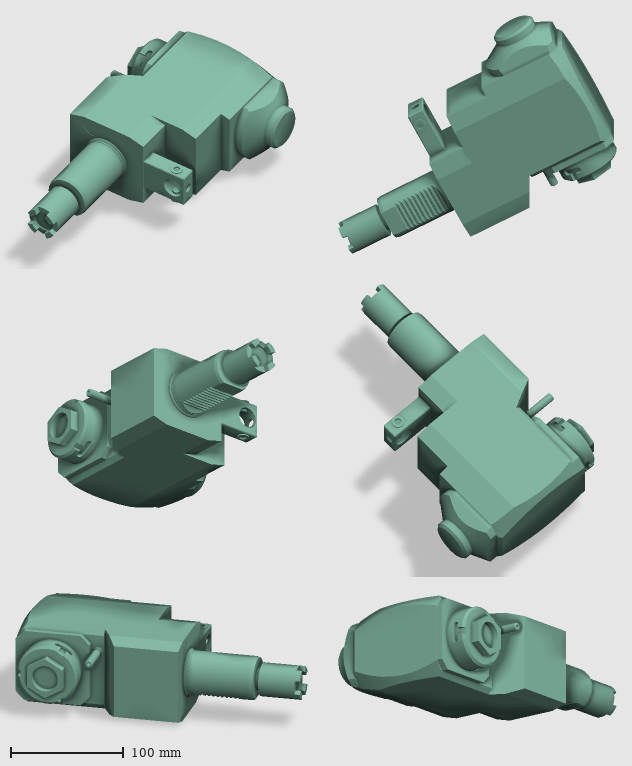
import cadquery as cq
import math


housing_height = 75.0
half_height = housing_height / 2
front_left_x = -38.8
front_right_x = 39.3
middle_right_x = 72.2
rear_left_x = -14.2
rear_right_x = 81.5
front_step_y = 34.7
rear_step_y = 74.5
rear_y = 154.0
bevel_slope = math.tan(math.radians(15))
front_bevel_run = 15.0
right_bevel_start_x = 57.2
rear_left_bevel_run = 4.0
rear_left_bevel_drop = 5.0
shoulder_outer_y = 59.0
shoulder_inner_x = -9.8
rear_corner_chamfer = 2.8

crown_axis_x = 23.5
crown_axis_y = 13.7
crown_radius = 136.0
crown_slope = 1.3

spindle_y = 120.0
plate_width_y = 67.5
plate_width_z = 65.7
plate_corner = 8.0
plate_outer_x = -20.2
nut_radius = 27.5
nut_outer_x = -39.3
nut_chamfer = 2.0
nut_slot_center_x = -29.5
nut_slot_width = 5.5
nut_slot_span = 40.0
nut_slot_depth = 3.0
nut_notch_width = 6.0
hex_flats = 32.0
hex_outer_x = -47.4
hex_bore_radius = 12.0
hex_bore_depth = 6.5

nozzle_y = 80.0
nozzle_z = 17.3
nozzle_radius = 3.5
nozzle_neck_radius = 1.8
nozzle_base_radius = 4.5
nozzle_bore_radius = 1.5
nozzle_bore_depth = 5.2
nozzle_inner_x = -19.7
nozzle_neck_x = -17.3
nozzle_chamfer = 0.8
side_plug_y = 80.8
side_plug_z = 10.4
side_plug_radius = 4.5
side_plug_hole_radius = 1.3
side_plug_hole_depth = 2.5
face_plug_x = -15.8
face_plug_z = 27.7
face_plug_radius = 7.5
plug_recess = 0.3

cap_radius = 37.5
cap_collar_x = 88.8
cap_cone_end_x = 101.2
cap_nose_radius = 19.5
cap_end_x = 109.8
cap_chamfer = 2.3
cap_half_width = 29.5
cap_taper_start_x = 84.6

flange_radius = 21.7
flange_length = 2.3
flange_chamfer_start = 1.0
collar_radius = 20.5
collar_end = 4.0
shank_radius = 40.0 / 2
shank_length = 63.2
shank_chamfer_length = 3.0
shank_chamfer_depth = 0.8
neck_radius = 10.0
neck_end = 67.0
coupling_radius = 30.3 / 2
coupling_end = 104.8
claw_height = 5.0
claw_slot_angle = 49.0
claw_bore_radius = 20.0 / 2
claw_bore_depth = 6.5
rack_z = -16.0
rack_runout_start = 4.1
rack_runout_slope = 0.75
rack_teeth_start = 11.5
rack_row_length = 36.2
rack_groove_count = 10
rack_pitch = rack_row_length / (rack_groove_count - 1)
rack_groove_depth = 1.5
rack_groove_floor = 1.3
rack_groove_mouth = 2.8

arm_end_x = 82.0
arm_front_y = 0.5
arm_rear_y = 15.8
arm_height = 31.3
arm_bore_x = 70.5
arm_bore_radius = 9.5
arm_outlet_radius = 4.1
arm_chamfer = 0.8
jet_y = 7.0
jet_inner_z = 7.2
jet_neck_radius = 3.5
jet_neck_height = 0.8
jet_rim_radius = 5.5
jet_rim_height = 1.0
jet_hole_radius = 3.0
jet_hole_depth = 4.0
jet_cone_depth = 1.8


def beveled_prism(start_y, end_y, left, right):
    """Housing stage; left and right are (side x, bevel start x, bevel drop)."""
    left_x, left_top_x, left_drop = left
    right_x, right_top_x, right_drop = right
    upper = [
        (left_x, half_height - left_drop),
        (left_top_x, half_height),
        (right_top_x, half_height),
        (right_x, half_height - right_drop),
    ]
    lower = [(x, -z) for x, z in reversed(upper)]
    return (
        cq.Workplane("XZ", origin=(0, start_y, 0))
        .polyline(upper + lower)
        .close()
        .extrude(start_y - end_y)
    )


def cylinder_x(start_x, end_x, radius, y, z):
    """Round bar parallel to X."""
    return cq.Workplane("YZ", origin=(start_x, y, z)).circle(radius).extrude(end_x - start_x)


def cylinder_y(start_y, end_y, radius, x, z):
    """Round bar parallel to Y."""
    return cq.Workplane("XZ", origin=(x, start_y, z)).circle(radius).extrude(start_y - end_y)


def revolve_about_x(outline, y, z):
    """Revolve (x, radius) points about a line parallel to X."""
    return (
        cq.Workplane("XY", origin=(0, y, z))
        .polyline(outline)
        .close()
        .revolve(360, (0, 0, 0), (1, 0, 0))
    )


def make_housing():
    front_bevel_drop = front_bevel_run * bevel_slope
    front_left = (front_left_x, front_left_x + front_bevel_run, front_bevel_drop)
    front_right = (front_right_x, front_right_x - front_bevel_run, front_bevel_drop)
    middle_drop = (middle_right_x - right_bevel_start_x) * bevel_slope
    middle_right = (middle_right_x, right_bevel_start_x, middle_drop)
    rear_left = (rear_left_x, rear_left_x + rear_left_bevel_run, rear_left_bevel_drop)
    rear_drop = (rear_right_x - right_bevel_start_x) * bevel_slope
    rear_right = (rear_right_x, right_bevel_start_x, rear_drop)

    rear_stage = beveled_prism(rear_step_y, rear_y, rear_left, rear_right)
    rear_stage = rear_stage.faces(">X").edges(">Y").chamfer(rear_corner_chamfer)
    rear_stage = rear_stage.intersect(make_crown())

    shoulder_cut = (
        cq.Workplane("XY")
        .polyline([
            (front_left_x, shoulder_outer_y),
            (shoulder_inner_x, rear_step_y),
            (front_left_x, rear_step_y),
        ])
        .close()
        .extrude(half_height, both=True)
    )
    return (
        beveled_prism(0, front_step_y, front_left, front_right)
        .union(beveled_prism(front_step_y, rear_step_y, front_left, middle_right))
        .cut(shoulder_cut)
        .union(rear_stage)
    )


def make_crown():
    """Double cone about a vertical axis, widest at mid height."""
    middle_radius = crown_radius + half_height / crown_slope
    return (
        cq.Workplane("XZ", origin=(crown_axis_x, crown_axis_y, 0))
        .polyline([
            (0, -half_height),
            (crown_radius, -half_height),
            (middle_radius, 0),
            (crown_radius, half_height),
            (0, half_height),
        ])
        .close()
        .revolve(360, (0, 0, 0), (0, 1, 0))
    )


def make_collet_side():
    plate = (
        cq.Workplane("YZ", origin=(plate_outer_x, spindle_y, 0))
        .rect(plate_width_y, plate_width_z)
        .extrude(rear_left_x - plate_outer_x)
        .edges("|X")
        .chamfer(plate_corner)
    )
    nut = cylinder_x(nut_outer_x, plate_outer_x, nut_radius, spindle_y, 0)
    nut = nut.faces("<X").chamfer(nut_chamfer)
    nut = nut.cut(make_nut_slots())
    hexagon = (
        cq.Workplane("YZ", origin=(hex_outer_x, spindle_y, 0))
        .polygon(6, hex_flats, circumscribed=True)
        .extrude(nut_outer_x - hex_outer_x)
    )
    bore = cylinder_x(hex_outer_x, hex_outer_x + hex_bore_depth, hex_bore_radius, spindle_y, 0)
    return plate.union(nut).union(hexagon).cut(bore)


def make_nut_slots():
    """Three T-shaped wrench slots, the first facing +Y."""
    floor_radius = nut_radius - nut_slot_depth
    cutter_radius = nut_radius + nut_slot_depth
    slot_start_x = nut_slot_center_x - nut_slot_width / 2
    slot_end_x = nut_slot_center_x + nut_slot_width / 2
    end_radius = nut_slot_width / 2
    arc_span = nut_slot_span - 2 * math.degrees(end_radius / nut_radius)
    slot = (
        cq.Workplane("XY")
        .polyline([
            (slot_start_x, floor_radius),
            (slot_end_x, floor_radius),
            (slot_end_x, cutter_radius),
            (slot_start_x, cutter_radius),
        ])
        .close()
        .revolve(arc_span, (0, 0, 0), (1, 0, 0))
        .rotate((0, 0, 0), (1, 0, 0), -arc_span / 2)
    )
    rounded_end = cylinder_y(floor_radius, cutter_radius, end_radius, nut_slot_center_x, 0)
    for angle in (-arc_span / 2, arc_span / 2):
        slot = slot.union(rounded_end.rotate((0, 0, 0), (1, 0, 0), angle))
    notch = cq.Workplane("XY").box(
        slot_end_x - nut_outer_x,
        cutter_radius - floor_radius,
        nut_notch_width,
        centered=(False, False, True),
    ).translate((nut_outer_x, floor_radius, 0))
    slot = slot.union(notch)
    slots = slot
    for angle in (120, 240):
        slots = slots.union(slot.rotate((0, 0, 0), (1, 0, 0), angle))
    return slots.translate((0, spindle_y, 0))


def make_nozzle():
    outline = [
        (hex_outer_x, 0),
        (hex_outer_x, nozzle_radius - nozzle_chamfer),
        (hex_outer_x + nozzle_chamfer, nozzle_radius),
        (nozzle_inner_x, nozzle_radius),
        (nozzle_inner_x, nozzle_neck_radius),
        (nozzle_neck_x, nozzle_neck_radius),
        (rear_left_x, nozzle_base_radius),
        (rear_left_x, 0),
    ]
    bore_end_x = hex_outer_x + nozzle_bore_depth
    bore = cylinder_x(hex_outer_x, bore_end_x, nozzle_bore_radius, nozzle_y, nozzle_z)
    return revolve_about_x(outline, nozzle_y, nozzle_z).cut(bore)


def make_plug_recesses():
    """Shallow round seats of the plugs in the mounting face and the collet side."""
    face_seat = cylinder_y(0, plug_recess, face_plug_radius, face_plug_x, face_plug_z)
    side_seat = cylinder_x(
        rear_left_x, rear_left_x + plug_recess, side_plug_radius, side_plug_y, side_plug_z
    )
    side_hole = cylinder_x(
        rear_left_x, rear_left_x + side_plug_hole_depth, side_plug_hole_radius, side_plug_y, side_plug_z
    )
    return face_seat.union(side_seat).union(side_hole)


def make_cap():
    outline = [
        (rear_right_x, 0),
        (rear_right_x, cap_radius),
        (cap_collar_x, cap_radius),
        (cap_cone_end_x, cap_nose_radius),
        (cap_end_x - cap_chamfer, cap_nose_radius),
        (cap_end_x, cap_nose_radius - cap_chamfer),
        (cap_end_x, 0),
    ]
    tapered_half_width = cap_half_width - (cap_end_x - cap_taper_start_x) * bevel_slope
    upper = [
        (rear_right_x, cap_half_width),
        (cap_taper_start_x, cap_half_width),
        (cap_end_x, tapered_half_width),
    ]
    lower = [(x, -z) for x, z in reversed(upper)]
    envelope = (
        cq.Workplane("XZ", origin=(0, spindle_y + cap_half_width, 0))
        .polyline(upper + lower)
        .close()
        .extrude(cap_half_width + cap_radius)
    )
    return revolve_about_x(outline, spindle_y, 0).intersect(envelope)


def make_shank():
    outline = [
        (0, 0),
        (flange_radius, 0),
        (flange_radius, -flange_chamfer_start),
        (collar_radius, -flange_length),
        (collar_radius, -collar_end),
        (shank_radius, -collar_end),
        (shank_radius, shank_chamfer_length - shank_length),
        (shank_radius - shank_chamfer_depth, -shank_length),
        (neck_radius, -shank_length),
        (neck_radius, -neck_end),
        (coupling_radius, -neck_end),
        (coupling_radius, -coupling_end),
        (0, -coupling_end),
    ]
    shank = cq.Workplane("XY").polyline(outline).close().revolve(360, (0, 0, 0), (0, 1, 0))
    return shank.cut(make_rack_cut()).cut(make_claw_cut())


def make_rack_cut():
    """Clamping flat with a sloped run-out and a row of tooth grooves."""
    runout_end = rack_runout_start + (flange_radius + rack_z) * rack_runout_slope
    flat = (
        cq.Workplane("YZ")
        .polyline([
            (-rack_runout_start, -flange_radius),
            (-runout_end, rack_z),
            (-shank_length, rack_z),
            (-shank_length, -flange_radius),
        ])
        .close()
        .extrude(flange_radius, both=True)
    )
    groove_top = rack_z + rack_groove_depth
    for index in range(rack_groove_count):
        center_y = -rack_teeth_start - index * rack_pitch
        groove = (
            cq.Workplane("YZ")
            .polyline([
                (center_y - rack_groove_mouth / 2, rack_z),
                (center_y + rack_groove_mouth / 2, rack_z),
                (center_y + rack_groove_floor / 2, groove_top),
                (center_y - rack_groove_floor / 2, groove_top),
            ])
            .close()
            .extrude(flange_radius, both=True)
        )
        flat = flat.union(groove)
    return flat


def make_claw_cut():
    """Four radial slots and a central recess that leave four driving claws."""
    cut = cylinder_y(-coupling_end, claw_bore_depth - coupling_end, claw_bore_radius, 0, 0)
    reach = 2 * coupling_radius
    half_width = reach * math.tan(math.radians(claw_slot_angle / 2))
    for angle in range(0, 360, 90):
        slot = (
            cq.Workplane("XZ", origin=(0, -coupling_end, 0))
            .polyline([(0, 0), (reach, half_width), (reach, -half_width)])
            .close()
            .extrude(-claw_height)
            .rotate((0, 0, 0), (0, 1, 0), angle)
        )
        cut = cut.union(slot)
    return cut


def make_arm():
    arm_middle_y = (arm_front_y + arm_rear_y) / 2
    arm_depth = arm_rear_y - arm_front_y
    arm = cq.Workplane("XY").box(
        arm_end_x - front_right_x, arm_depth, arm_height, centered=(False, True, True)
    ).translate((front_right_x, arm_middle_y, 0))
    arm = arm.edges("|X or >X").chamfer(arm_chamfer)
    bore = cylinder_y(arm_front_y, arm_rear_y, arm_bore_radius, arm_bore_x, 0)
    outlet = cylinder_x(arm_bore_x, arm_end_x, arm_outlet_radius, arm_middle_y, 0)
    jet = make_jet()
    return arm.cut(bore).cut(outlet).union(jet).union(jet.mirror("XY"))


def make_jet():
    """Rimmed jet insert with a blind conical-bottomed hole, open at the top."""
    rim_bottom_z = arm_height / 2 + jet_neck_height
    rim_top_z = rim_bottom_z + jet_rim_height
    outline = [
        (0, jet_inner_z),
        (jet_neck_radius, jet_inner_z),
        (jet_neck_radius, rim_bottom_z),
        (jet_rim_radius, rim_bottom_z),
        (jet_rim_radius, rim_top_z),
        (jet_hole_radius, rim_top_z),
        (jet_hole_radius, rim_top_z - jet_hole_depth),
        (0, rim_top_z - jet_hole_depth - jet_cone_depth),
    ]
    return (
        cq.Workplane("XZ", origin=(arm_bore_x, jet_y, 0))
        .polyline(outline)
        .close()
        .revolve(360, (0, 0, 0), (0, 1, 0))
    )


result = (
    make_housing()
    .union(make_collet_side())
    .union(make_nozzle())
    .union(make_cap())
    .union(make_shank())
    .union(make_arm())
    .cut(make_plug_recesses())
)